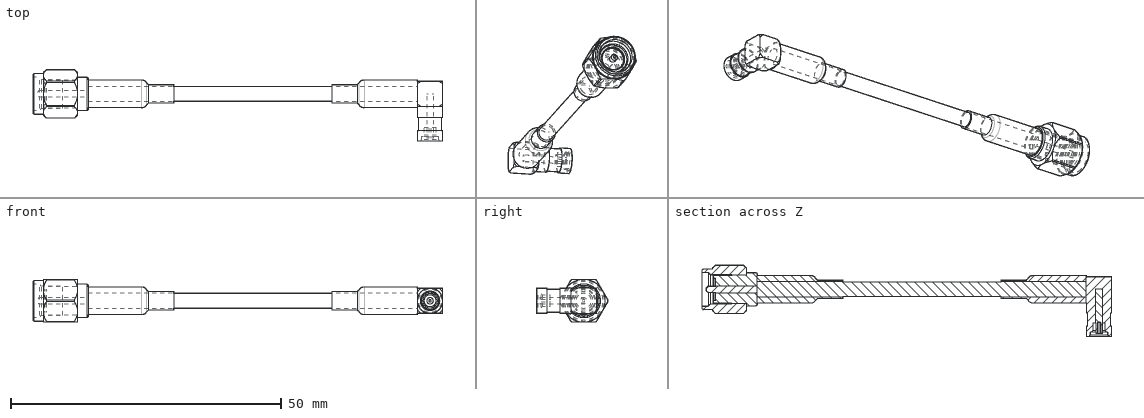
import cadquery as cq
import math


overall_length = 75.84
overall_width = 13.22
elbow_width = 4.7
elbow_start = overall_length - elbow_width
elbow_axis_x = overall_length - elbow_width / 2

hex_across_flats = 7.94
hex_corner_diameter = 9.0
nut_front_radius = 3.8
nut_front_chamfer = 0.25
hex_start = 1.95
hex_end = 8.3
hex_chamfer_length = 0.6
nut_mouth_radius = 3.1
nut_mouth_depth = 1.2
thread_radius = 2.7
thread_depth = 5.5

body_end = 10.3
body_collar_radius = 3.12
body_collar_chamfer = 0.25
ring_outer_radius = 2.6
ring_inner_radius = 2.2
ring_start = 2.1
socket_floor_x = 2.5
ring_mouth_chamfer = 0.15

pin_radius = 0.58
pin_tip_chamfer = 0.33
pin_tip_x = 0.8

sleeve_length = 15.8
sleeve_large_radius = 2.57
sleeve_small_radius = 1.72
sleeve_shoulder = 10.75
sleeve_round_radius = 0.95
sleeve_fillet_radius = 0.35

cable_radius = 1.4

tip_y = hex_corner_diameter / 2 - overall_width
elbow_corner_radius = 2.85
barrel_radius = elbow_width / 2
barrel_neck_radius = 2.15
neck_start_y = -4.4
neck_end_y = -6.8
barrel_mouth_radius = 1.8
barrel_bore_radius = 1.6
barrel_lead_length = 0.3
barrel_seat_depth = 0.8
barrel_seat_radius = 1.35
barrel_seat_taper = 0.3
barrel_socket_radius = 1.1
barrel_bore_depth = 2.5

contact_radius = 0.6
contact_hole_radius = 0.22
contact_hole_depth = 2.0
contact_front_depth = 0.6


def turned(points):
    """Revolve an (x, radius) outline about the X axis."""
    return cq.Workplane("XY").polyline(points).close().revolve(360, (0, 0), (1, 0))


def rod(start, end, radius):
    """Plain cylinder on the X axis."""
    return cq.Workplane("YZ", origin=(start, 0, 0)).circle(radius).extrude(end - start)


def make_nut():
    hex_flat_radius = hex_across_flats / 2
    corner_radius = hex_corner_diameter / 2
    collar = turned([
        (0, 0),
        (0, nut_front_radius - nut_front_chamfer),
        (nut_front_chamfer, nut_front_radius),
        (hex_start, nut_front_radius),
        (hex_start, 0),
    ])
    hexagon = (
        cq.Workplane("YZ", origin=(hex_start, 0, 0))
        .polygon(6, hex_across_flats / math.cos(math.pi / 6))
        .extrude(hex_end - hex_start)
    )
    corner_trim = turned([
        (hex_start, 0),
        (hex_start, hex_flat_radius),
        (hex_start + hex_chamfer_length, corner_radius),
        (hex_end - hex_chamfer_length, corner_radius),
        (hex_end, hex_flat_radius),
        (hex_end, 0),
    ])
    mouth_taper = nut_mouth_radius - thread_radius
    bore = turned([
        (0, 0),
        (0, nut_mouth_radius),
        (nut_mouth_depth, nut_mouth_radius),
        (nut_mouth_depth + mouth_taper, thread_radius),
        (thread_depth, thread_radius),
        (thread_depth, ring_outer_radius),
        (hex_end, ring_outer_radius),
        (hex_end, 0),
    ])
    return collar.union(hexagon.intersect(corner_trim)).cut(bore)


def make_plug_body():
    body = turned([
        (ring_start, 0),
        (ring_start, ring_outer_radius),
        (hex_end, ring_outer_radius),
        (hex_end, body_collar_radius),
        (body_end - body_collar_chamfer, body_collar_radius),
        (body_end, body_collar_radius - body_collar_chamfer),
        (body_end, 0),
    ])
    socket = turned([
        (ring_start, 0),
        (ring_start, ring_inner_radius),
        (ring_start + ring_mouth_chamfer, ring_inner_radius - ring_mouth_chamfer),
        (socket_floor_x, ring_inner_radius - ring_mouth_chamfer),
        (socket_floor_x, 0),
    ])
    return body.cut(socket).cut(rod(socket_floor_x, body_end, pin_radius))


def make_plug_pin():
    return rod(pin_tip_x, body_end, pin_radius).faces("<X").chamfer(pin_tip_chamfer)


def make_sleeve(connector_face, direction):
    """Stepped sleeve running from a connector face along +X (1) or -X (-1)."""
    def at(distance):
        return connector_face + direction * distance

    round_start = sleeve_shoulder - sleeve_round_radius
    nose_radius = sleeve_small_radius + sleeve_fillet_radius
    outline = (
        cq.Workplane("XY")
        .moveTo(at(0), cable_radius)
        .lineTo(at(0), sleeve_large_radius)
        .lineTo(at(round_start), sleeve_large_radius)
        .radiusArc((at(sleeve_shoulder), nose_radius), direction * sleeve_round_radius)
        .lineTo(at(sleeve_shoulder + sleeve_fillet_radius), sleeve_small_radius)
        .lineTo(at(sleeve_length), sleeve_small_radius)
        .lineTo(at(sleeve_length), cable_radius)
        .close()
    )
    return outline.revolve(360, (0, 0), (1, 0))


def make_cable():
    return rod(body_end, elbow_start, cable_radius)


def turned_y(points):
    """Revolve a (radius, y) outline about the elbow barrel axis."""
    return (
        cq.Workplane("XY", origin=(elbow_axis_x, 0, 0))
        .polyline(points).close()
        .revolve(360, (0, 0), (0, 1))
    )


def make_elbow():
    half = elbow_width / 2
    corner_reach = half * math.sqrt(2)
    corner_drop = corner_reach - elbow_corner_radius
    block = cq.Workplane("XY", origin=(elbow_axis_x, 0, 0)).box(elbow_width, elbow_width, elbow_width)
    corner_trim = turned_y([
        (0, -half),
        (elbow_corner_radius, -half),
        (corner_reach, corner_drop - half),
        (corner_reach, half - corner_drop),
        (elbow_corner_radius, half),
        (0, half),
    ])
    barrel = turned_y([
        (0, -half),
        (barrel_radius, -half),
        (barrel_radius, neck_start_y),
        (barrel_neck_radius, neck_start_y),
        (barrel_neck_radius, neck_end_y),
        (barrel_radius, neck_end_y),
        (barrel_radius, tip_y),
        (0, tip_y),
    ])
    bore = turned_y([
        (0, tip_y),
        (barrel_mouth_radius, tip_y),
        (barrel_bore_radius, tip_y + barrel_lead_length),
        (barrel_bore_radius, tip_y + barrel_seat_depth),
        (barrel_seat_radius, tip_y + barrel_seat_depth),
        (barrel_socket_radius, tip_y + barrel_seat_depth + barrel_seat_taper),
        (barrel_socket_radius, tip_y + barrel_bore_depth),
        (0, tip_y + barrel_bore_depth),
    ])
    contact_hole = turned_y([
        (0, tip_y),
        (contact_radius, tip_y),
        (contact_radius, 0),
        (0, 0),
    ])
    return block.intersect(corner_trim).union(barrel).cut(bore).cut(contact_hole)


def make_contact():
    front = tip_y + contact_front_depth
    hole_end = front + contact_hole_depth
    return turned_y([
        (0, 0),
        (contact_radius, 0),
        (contact_radius, front),
        (contact_hole_radius, front),
        (contact_hole_radius, hole_end),
        (0, hole_end),
    ])


nut = make_nut()
plug_body = make_plug_body()
plug_pin = make_plug_pin()
sleeves = [make_sleeve(body_end, 1), make_sleeve(elbow_start, -1)]
cable = make_cable()
elbow = make_elbow()
contact = make_contact()

result = cq.Compound.makeCompound([
    nut.val(),
    plug_body.val(),
    plug_pin.val(),
    *[sleeve.val() for sleeve in sleeves],
    cable.val(),
    elbow.val(),
    contact.val(),
])